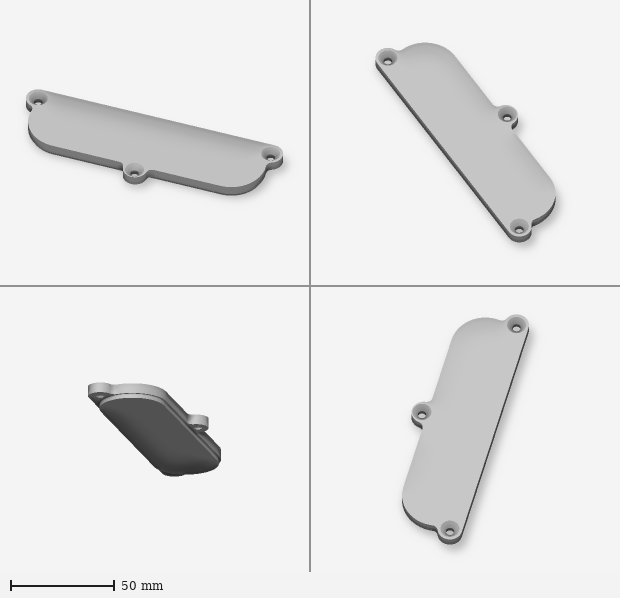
import cadquery as cq
import math

length = 130.8
depth = 42.0
height = 7.0

body_length = 120.1
body_depth = 34.1
body_radius = body_depth / 2
end_center_x = body_length / 2 - body_radius
lug_radius = 6.0
blend_radius = 3.0

lip_height = 2.1
lip_inset = 1.0
plate_height = height - lip_height

hole_diameter = 4.0
countersink_diameter = 9.2
countersink_angle = 90
front_hole_offset = 0.9

body_y = -body_radius
ear_x = length / 2 - lug_radius
ear_y = -lug_radius
front_lug_y = lug_radius - depth

lug_reach = lug_radius + blend_radius
body_reach = body_radius + blend_radius
front_blend_y = -body_depth - blend_radius
front_blend_x = math.sqrt(lug_reach**2 - (front_blend_y - front_lug_y) ** 2)

ear_dx = ear_x - end_center_x
ear_dy = ear_y - body_y
center_distance = math.hypot(ear_dx, ear_dy)
along = (body_reach**2 - lug_reach**2 + center_distance**2) / (2 * center_distance)
across = math.sqrt(body_reach**2 - along**2)
ear_blend_x = end_center_x + (along * ear_dx + across * ear_dy) / center_distance
ear_blend_y = body_y + (along * ear_dy - across * ear_dx) / center_distance


def toward(start, end, distance):
    """Point at a distance from start along the direction to end."""
    ratio = distance / math.dist(start, end)
    return (start[0] + ratio * (end[0] - start[0]), start[1] + ratio * (end[1] - start[1]))


def mirrored(point):
    return (-point[0], point[1])


def make_plate():
    ear = (ear_x, ear_y)
    body_end = (end_center_x, body_y)
    ear_blend = (ear_blend_x, ear_blend_y)
    front_lug = (0, front_lug_y)
    front_blend = (front_blend_x, front_blend_y)

    back = (ear_x, 0)
    ear_side = (length / 2, ear_y)
    ear_tangent = toward(ear, ear_blend, lug_radius)
    body_tangent = toward(body_end, ear_blend, body_radius)
    body_front = (end_center_x, -body_depth)
    blend_start = (front_blend_x, -body_depth)
    lug_tangent = toward(front_lug, front_blend, lug_radius)
    diagonal = math.sqrt(0.5)
    body_mid = (end_center_x + body_radius * diagonal, body_y - body_radius * diagonal)
    ear_mid = (ear_x + lug_radius * diagonal, ear_y + lug_radius * diagonal)
    ear_lower_mid = toward(ear, (ear_side[0] + ear_tangent[0] - ear_x, ear_tangent[1]), lug_radius)
    ear_blend_chord = ((ear_tangent[0] + body_tangent[0]) / 2, (ear_tangent[1] + body_tangent[1]) / 2)
    ear_blend_mid = toward(ear_blend, ear_blend_chord, blend_radius)
    front_chord = ((blend_start[0] + lug_tangent[0]) / 2, (blend_start[1] + lug_tangent[1]) / 2)
    front_blend_mid = toward(front_blend, front_chord, blend_radius)

    return (
        cq.Workplane("XY")
        .moveTo(*mirrored(back))
        .lineTo(*back)
        .threePointArc(ear_mid, ear_side)
        .threePointArc(ear_lower_mid, ear_tangent)
        .threePointArc(ear_blend_mid, body_tangent)
        .threePointArc(body_mid, body_front)
        .lineTo(*blend_start)
        .threePointArc(front_blend_mid, lug_tangent)
        .threePointArc((0, -depth), mirrored(lug_tangent))
        .threePointArc(mirrored(front_blend_mid), mirrored(blend_start))
        .lineTo(*mirrored(body_front))
        .threePointArc(mirrored(body_mid), mirrored(body_tangent))
        .threePointArc(mirrored(ear_blend_mid), mirrored(ear_tangent))
        .threePointArc(mirrored(ear_lower_mid), mirrored(ear_side))
        .threePointArc(mirrored(ear_mid), mirrored(back))
        .close()
        .extrude(plate_height)
    )


def make_lip():
    return (
        cq.Workplane("XY")
        .center(0, body_y)
        .slot2D(body_length - 2 * lip_inset, body_depth - 2 * lip_inset)
        .extrude(-lip_height)
    )


def cut_screw_holes(plate):
    centers = [(-ear_x, ear_y), (ear_x, ear_y), (0, front_lug_y - front_hole_offset)]
    return (
        plate.faces(">Z")
        .workplane(origin=(0, 0, plate_height))
        .pushPoints(centers)
        .cskHole(hole_diameter, countersink_diameter, countersink_angle)
    )


result = cut_screw_holes(make_plate()).union(make_lip())